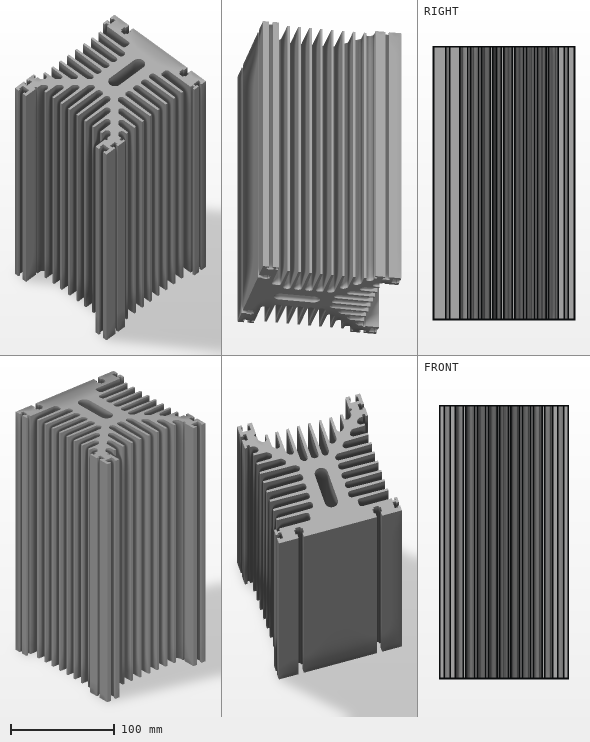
import cadquery as cq

LENGTH = 265.0
WIDTH = 125.0
DEPTH = 137.0
HALF_WIDTH = WIDTH / 2

PLATE_THICKNESS = 16.0
SHOULDER_HALF_WIDTH = 24.6
CORE_HALF_WIDTH = 18.0
ARM_OUTER_START = 58.0
ARM_INNER_START = 69.0

FOOT_TOP = 111.3
FOOT_INNER_X = 47.5

FIN_PITCH = 10.9
FIN_TIP_THICKNESS = 2.5
FIN_FLARE = 0.015
SIDE_FIN_COUNT = 8
CORE_FIN_COUNT = 5
SIDE_FIN_FIRST = 26.5
SIDE_FIN_TIP_X = 56.7
FRONT_FIN_PAIRS = 4
FRONT_FIN_FIRST = 5.5
FRONT_FIN_TIP = 120.0
CENTRE_GAP_TOP = 80.8
GAP_RADIUS = 3.2
SHOULDER_RADIUS = 2.6

CORE_SLOT_WIDTH = 13.0
CORE_SLOT_TOP = 23.3
CORE_SLOT_BOTTOM = 69.0

PLATE_EDGE_SLOT = 8.0
FOOT_EDGE_SLOT = 123.0
SIDE_SLOT_MOUTH = 3.7
SIDE_SLOT_CAVITY = 7.0
SIDE_SLOT_LIP = 2.6
SIDE_SLOT_DEPTH = 5.8
FOOT_SLOT_MOUTH = 5.8
FOOT_SLOT_CAVITY = 8.5
FOOT_SLOT_LIP = 2.5
FOOT_SLOT_DEPTH = 7.5

PLATE_SLOT_X = 39.8
PLATE_SLOT_MOUTH = 5.3
PLATE_SLOT_CAVITY = 8.5
PLATE_SLOT_LIP = 4.8
PLATE_SLOT_CAVITY_END = 9.8
PLATE_SLOT_DEPTH = 11.7

EDGE_GROOVE_WIDTH = 3.0
EDGE_GROOVE_DEPTH = 2.6
EDGE_GROOVE_OFFSET = 2.5
FOOT_GROOVE_RADIUS = 1.3
FOOT_GROOVE_INSET = 0.8
FOOT_GROOVE_CENTRE = 122.5


def prism(points):
    """Extrude an outline of (x, depth) points, depth measured from the mounting face."""
    outline = [(x, -depth) for x, depth in points]
    return cq.Workplane("XY").polyline(outline).close().extrude(LENGTH)


def block(x_min, x_max, depth_min, depth_max):
    """Rectangular bar over the full length."""
    corners = [(x_min, depth_min), (x_max, depth_min), (x_max, depth_max), (x_min, depth_max)]
    return prism(corners)


def round_corners(body, corners, radius):
    """Fillet the vertical edges that stand on the given (x, depth) corners."""
    for x, depth in corners:
        edge = cq.selectors.NearestToPointSelector((x, -depth, LENGTH / 2))
        body = body.edges("|Z").edges(edge).fillet(radius)
    return body


def fin_face(centre, tip, side, along):
    """Offset of a fin face at the distance `along` from the origin; side is -1 or +1."""
    return centre + side * (FIN_TIP_THICKNESS / 2 + FIN_FLARE * (tip - along))


def arm_crossing(centre, tip, side, arm_start):
    """Distance along a fin at which its face meets the line offset = arm_start + along."""
    return (fin_face(centre, tip, side, 0) - arm_start) / (1 + side * FIN_FLARE)


def side_fin(index):
    """Outline of one fin pointing to +X, from its upper root to its lower root."""
    centre = SIDE_FIN_FIRST + index * FIN_PITCH
    tip = SIDE_FIN_TIP_X
    upper_wall = SHOULDER_HALF_WIDTH if index == 0 else CORE_HALF_WIDTH
    upper_x = max(upper_wall, arm_crossing(centre, tip, -1, ARM_OUTER_START))
    lower_x = max(CORE_HALF_WIDTH, arm_crossing(centre, tip, 1, ARM_OUTER_START))
    return [
        (upper_x, fin_face(centre, tip, -1, upper_x)),
        (tip, fin_face(centre, tip, -1, tip)),
        (tip, fin_face(centre, tip, 1, tip)),
        (lower_x, fin_face(centre, tip, 1, lower_x)),
    ]


def front_fin(index):
    """Outline of one fin pointing to -Y, from its outer root to its inner root."""
    centre = FRONT_FIN_FIRST + index * FIN_PITCH
    tip = FRONT_FIN_TIP
    outer_depth = arm_crossing(centre, tip, 1, -ARM_INNER_START)
    inner_depth = arm_crossing(centre, tip, -1, -ARM_INNER_START)
    if index == 0:
        inner_depth = CENTRE_GAP_TOP
    return [
        (fin_face(centre, tip, 1, outer_depth), outer_depth),
        (fin_face(centre, tip, 1, tip), tip),
        (fin_face(centre, tip, -1, tip), tip),
        (fin_face(centre, tip, -1, inner_depth), inner_depth),
    ]


def half_profile():
    """Right half of the finned section, with every gap between fins rounded at its end."""
    side_fins = [side_fin(index) for index in range(SIDE_FIN_COUNT)]
    front_fins = [front_fin(index) for index in reversed(range(FRONT_FIN_PAIRS))]
    shoulder = (SHOULDER_HALF_WIDTH, PLATE_THICKNESS)
    arm_start = (CORE_HALF_WIDTH, ARM_OUTER_START + CORE_HALF_WIDTH)
    foot_top = (FOOT_TOP - ARM_OUTER_START, FOOT_TOP)
    foot_inner = (FOOT_INNER_X, ARM_INNER_START + FOOT_INNER_X)

    outline = [(0, 0), (HALF_WIDTH, 0), (HALF_WIDTH, PLATE_THICKNESS), shoulder]
    for fin in side_fins[:CORE_FIN_COUNT]:
        outline += fin
    outline.append(arm_start)
    for fin in side_fins[CORE_FIN_COUNT:]:
        outline += fin
    outline += [foot_top, (HALF_WIDTH, FOOT_TOP), (HALF_WIDTH, DEPTH), (FOOT_INNER_X, DEPTH), foot_inner]
    for fin in front_fins:
        outline += fin
    outline.append((0, CENTRE_GAP_TOP))

    fins = side_fins + front_fins
    roots = [fin[0] for fin in fins] + [fin[-1] for fin in fins]
    shoulder_corners = [shoulder, side_fins[0][0]]
    gap_corners = [root for root in roots if root not in shoulder_corners]
    gap_corners += [foot_top, foot_inner]
    body = round_corners(prism(outline), shoulder_corners, SHOULDER_RADIUS)
    return round_corners(body, gap_corners, GAP_RADIUS)


def side_slot(centre):
    """T-slot opening to the right side, centred on the given depth."""
    half_mouth = SIDE_SLOT_MOUTH / 2
    half_cavity = SIDE_SLOT_CAVITY / 2
    floor_x = HALF_WIDTH - SIDE_SLOT_DEPTH
    lip_x = HALF_WIDTH - SIDE_SLOT_LIP
    mouth = block(floor_x, HALF_WIDTH, centre - half_mouth, centre + half_mouth)
    return mouth.union(block(floor_x, lip_x, centre - half_cavity, centre + half_cavity))


def foot_slot():
    """T-slot opening to -Y in the middle of the foot."""
    centre = (HALF_WIDTH + FOOT_INNER_X) / 2
    half_mouth = FOOT_SLOT_MOUTH / 2
    half_cavity = FOOT_SLOT_CAVITY / 2
    floor = DEPTH - FOOT_SLOT_DEPTH
    mouth = block(centre - half_mouth, centre + half_mouth, floor, DEPTH)
    return mouth.union(block(centre - half_cavity, centre + half_cavity, floor, DEPTH - FOOT_SLOT_LIP))


def plate_slot():
    """T-slot in the mounting face, with a relief as wide as its mouth below the cavity."""
    half_mouth = PLATE_SLOT_MOUTH / 2
    half_cavity = PLATE_SLOT_CAVITY / 2
    mouth = block(PLATE_SLOT_X - half_mouth, PLATE_SLOT_X + half_mouth, 0, PLATE_SLOT_DEPTH)
    cavity = block(
        PLATE_SLOT_X - half_cavity, PLATE_SLOT_X + half_cavity, PLATE_SLOT_LIP, PLATE_SLOT_CAVITY_END
    )
    return mouth.union(cavity)


def edge_grooves():
    """Square grooves facing each other in the lower plate edge and the top of the foot."""
    outer_x = HALF_WIDTH - EDGE_GROOVE_OFFSET
    inner_x = outer_x - EDGE_GROOVE_WIDTH
    plate_groove = block(inner_x, outer_x, PLATE_THICKNESS - EDGE_GROOVE_DEPTH, PLATE_THICKNESS)
    return plate_groove.union(block(inner_x, outer_x, FOOT_TOP, FOOT_TOP + EDGE_GROOVE_DEPTH))


def foot_groove():
    """Round groove breaking through the inner face of the foot."""
    centre_x = FOOT_INNER_X + FOOT_GROOVE_INSET
    axis = cq.Workplane("XY").center(centre_x, -FOOT_GROOVE_CENTRE)
    return axis.circle(FOOT_GROOVE_RADIUS).extrude(LENGTH)


def core_slot():
    """Round-ended slot running through the core along the whole length."""
    centre_y = -(CORE_SLOT_TOP + CORE_SLOT_BOTTOM) / 2
    slot_length = CORE_SLOT_BOTTOM - CORE_SLOT_TOP
    return (
        cq.Workplane("XY")
        .center(0, centre_y)
        .slot2D(slot_length, CORE_SLOT_WIDTH, 90)
        .extrude(LENGTH)
    )


half = half_profile()
for slot_centre in (PLATE_EDGE_SLOT, FOOT_EDGE_SLOT):
    half = half.cut(side_slot(slot_centre))
for cutter in (foot_slot(), plate_slot(), edge_grooves(), foot_groove()):
    half = half.cut(cutter)
result = half.union(half.mirror("YZ")).cut(core_slot())